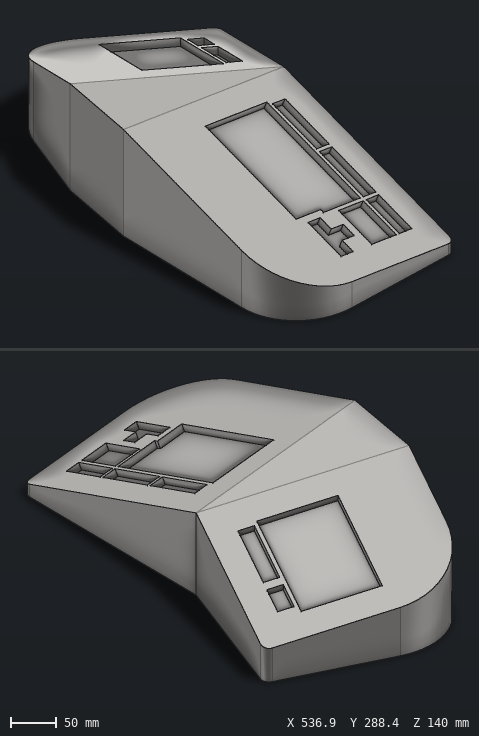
import cadquery as cq
import math

front_height = 140.0
notch_height = 108.0
wedge_half_width = 54.0
notch_x = 1.5
notch_y = 243.0

roll_angle = 18.7
left_panel_width = 202.5
right_panel_width = 294.0
front_corner_radius = 90.0
back_corner_radius = 10.0

pocket_depth = 9.5
pocket_gap = 5.0
row_height = 19.5
main_height = 95.5
left_pocket_front = 98.0
right_pocket_front = 96.0
main_inner_u = 35.0
left_main_width = 132.5
right_main_width = 161.0
right_main_step = 5.0
right_main_step_length = 38.0
row_inner_u = main_inner_u + pocket_gap
left_wide_key_width = 75.5
left_narrow_key_width = 32.0
left_key_gap = 11.0
right_key_width = 75.5
side_width = 57.0
navigation_height = 38.0
arrow_key = 19.0
arrow_front_offset = 9.5

ridge_drop = front_height - notch_height
notch_point = cq.Vector(notch_x, notch_y, notch_height)


def ridge_start(side):
    """Front end of a ridge; side is -1 for the left wing and +1 for the right."""
    return cq.Vector(side * wedge_half_width, 0, front_height)


def ridge_vector(side):
    return notch_point - ridge_start(side)


def panel_plane(side):
    """Tilted top plane of a wing, local +Y along its ridge and +Z facing up."""
    ridge = ridge_vector(side)
    plan_length = math.hypot(ridge.x, ridge.y)
    roll = math.radians(roll_angle)
    ridge_yaw = math.atan2(abs(ridge.x), ridge.y)
    front_yaw = ridge_yaw - math.asin(ridge_drop * math.tan(roll) / plan_length)
    outward = cq.Vector(
        side * math.cos(front_yaw) * math.cos(roll),
        math.sin(front_yaw) * math.cos(roll),
        -math.sin(roll),
    )
    local_x = outward * side
    return cq.Plane(origin=ridge_start(side), xDir=local_x, normal=local_x.cross(ridge))


def drop_to_base(face):
    """Sweep a top face straight down and keep what lies above Z = 0."""
    prism = cq.Workplane(obj=cq.Solid.extrudeLinear(face, cq.Vector(0, 0, -front_height)))
    span = 4 * (left_panel_width + right_panel_width)
    above_base = cq.Workplane().box(span, span, front_height, centered=(True, True, False))
    return prism.intersect(above_base)


def wing(side, width):
    """Panel with a large outer front corner and a small outer back corner."""
    length = ridge_vector(side).Length
    diagonal = math.sqrt(0.5)
    front_inset = front_corner_radius * (1 - diagonal)
    back_inset = back_corner_radius * (1 - diagonal)
    outline = (
        cq.Workplane(panel_plane(side))
        .moveTo(0, 0)
        .lineTo(side * (width - front_corner_radius), 0)
        .threePointArc((side * (width - front_inset), front_inset), (side * width, front_corner_radius))
        .lineTo(side * width, length - back_corner_radius)
        .threePointArc(
            (side * (width - back_inset), length - back_inset),
            (side * (width - back_corner_radius), length),
        )
        .lineTo(0, length)
        .close()
    )
    return drop_to_base(cq.Face.makeFromWires(outline.val()))


def wedge():
    corners = [ridge_start(-1), ridge_start(1), notch_point]
    return drop_to_base(cq.Face.makeFromWires(cq.Wire.makePolygon(corners, close=True)))


def pocket(side, inner_u, front_v, width, height):
    """Rectangular cutter sunk square to a wing's top plane."""
    return (
        cq.Workplane(panel_plane(side))
        .center(side * (inner_u + width / 2), front_v + height / 2)
        .rect(width, height)
        .extrude(-pocket_depth)
    )


def left_pockets():
    row_v = left_pocket_front + main_height + pocket_gap
    narrow_u = row_inner_u + left_wide_key_width + left_key_gap
    return [
        pocket(-1, main_inner_u, left_pocket_front, left_main_width, main_height),
        pocket(-1, row_inner_u, row_v, left_wide_key_width, row_height),
        pocket(-1, narrow_u, row_v, left_narrow_key_width, row_height),
    ]


def right_pockets():
    main_back = right_pocket_front + main_height
    row_v = main_back + pocket_gap
    side_u = main_inner_u + right_main_width + pocket_gap
    arrow_v = right_pocket_front + arrow_front_offset
    arrow_up_u = side_u + (side_width - arrow_key) / 2
    step_v = right_pocket_front + right_main_step_length
    cutters = [
        pocket(1, main_inner_u, right_pocket_front, right_main_width - right_main_step, main_height),
        pocket(1, main_inner_u, step_v, right_main_width, main_height - right_main_step_length),
        pocket(1, side_u, row_v, side_width, row_height),
        pocket(1, side_u, main_back - navigation_height, side_width, navigation_height),
        pocket(1, side_u, arrow_v, side_width, arrow_key),
        pocket(1, arrow_up_u, arrow_v, arrow_key, 2 * arrow_key),
    ]
    for index in range(2):
        key_u = row_inner_u + index * (right_key_width + pocket_gap)
        cutters.append(pocket(1, key_u, row_v, right_key_width, row_height))
    return cutters


body = wedge().union(wing(-1, left_panel_width)).union(wing(1, right_panel_width))
for cutter in left_pockets() + right_pockets():
    body = body.cut(cutter)

result = body